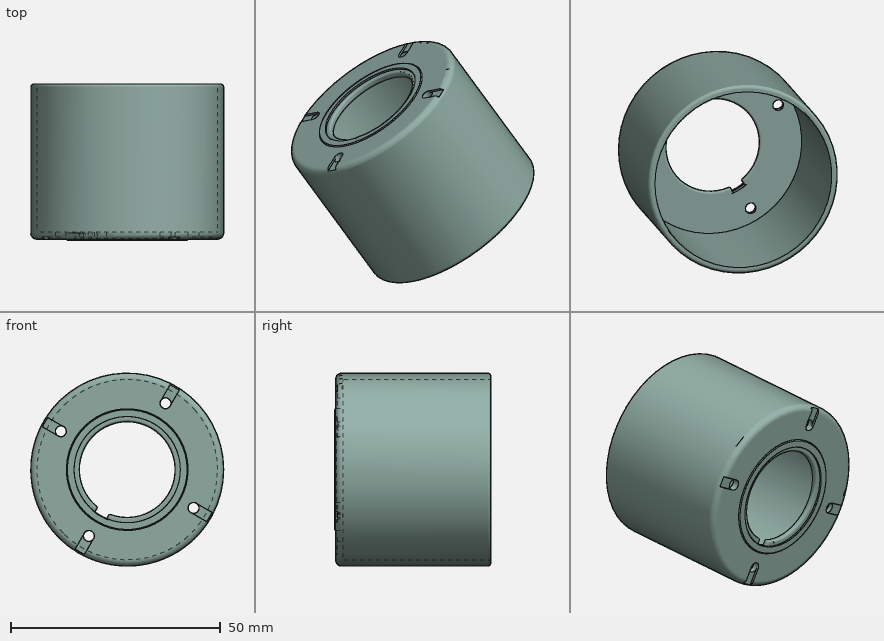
import cadquery as cq
import math

BODY_DIAMETER = 46.0
BODY_RADIUS = BODY_DIAMETER / 2
BODY_LENGTH = 37.0
FRONT_WALL = 1.75
SIDE_WALL = 1.5
FRONT_FILLET = 1.5
BACK_FILLET = 0.8

COLLAR_HEIGHT = 0.24
COLLAR_BASE_RADIUS = 14.5
COLLAR_TOP_RADIUS = COLLAR_BASE_RADIUS - COLLAR_HEIGHT

BORE_RADIUS = BODY_RADIUS - SIDE_WALL
MOUTH_RADIUS = 12.65
LIP_SEAT_RADIUS = 14.0
LIP_INNER_RADIUS = 11.38
LIP_FILLET = 0.5
LIP_FRONT_Y = 0.2
LIP_BACK_Y = FRONT_WALL
LIP_GAP_RADIUS = 12.8
LIP_GAP_WIDTH = 3.2
LIP_CORNER_FILLET = 0.4
LIP_GAP_ANGLE = 240.0

HOLE_COUNT = 4
HOLE_DIAMETER = 2.55
HOLE_CIRCLE_RADIUS = 18.25
FIRST_HOLE_ANGLE = 60.0
SLOT_DEPTH = 0.5


def cylinder(radius, start_y, end_y):
    """Solid cylinder on the Y axis between two Y positions."""
    plane = cq.Workplane("XZ", origin=(0, start_y, 0))
    return plane.circle(radius).extrude(start_y - end_y)


def make_body():
    body = cylinder(BODY_RADIUS, 0, BODY_LENGTH)
    body = body.faces("<Y").edges().fillet(FRONT_FILLET)
    return body.faces(">Y").edges().fillet(BACK_FILLET)


def make_collar():
    profile = (
        cq.Workplane("XY")
        .lineTo(COLLAR_BASE_RADIUS, 0)
        .lineTo(COLLAR_TOP_RADIUS, -COLLAR_HEIGHT)
        .lineTo(0, -COLLAR_HEIGHT)
        .close()
    )
    return profile.revolve(360, (0, 0, 0), (0, 1, 0))


def radial_box(inner_radius, outer_radius, width, start_y, end_y, angle):
    """Box reaching outward from the Y axis, turned from +X toward +Z by angle degrees."""
    box = cq.Workplane("XY").box(
        outer_radius - inner_radius, end_y - start_y, width, centered=(False, False, True)
    )
    box = box.translate((inner_radius, start_y, 0))
    return box.rotate((0, 0, 0), (0, 1, 0), -angle)


def make_lip():
    lip = cylinder(LIP_SEAT_RADIUS, LIP_FRONT_Y, LIP_BACK_Y)
    lip = lip.cut(cylinder(LIP_INNER_RADIUS, LIP_FRONT_Y, LIP_BACK_Y))
    gap = radial_box(0, BODY_RADIUS, LIP_GAP_WIDTH, LIP_FRONT_Y, LIP_BACK_Y, LIP_GAP_ANGLE)
    lip = lip.cut(gap.intersect(cylinder(LIP_GAP_RADIUS, LIP_FRONT_Y, LIP_BACK_Y)))

    opposite_gap = math.radians(LIP_GAP_ANGLE + 180)
    inner_wall_selector = cq.selectors.NearestToPointSelector(
        (LIP_INNER_RADIUS * math.cos(opposite_gap), 0, LIP_INNER_RADIUS * math.sin(opposite_gap))
    )
    inner_wall = lip.faces(inner_wall_selector)
    lip = inner_wall.edges("|Y").fillet(LIP_CORNER_FILLET)
    inner_wall = lip.faces(inner_wall_selector)
    return inner_wall.edges("not(|Y)").fillet(LIP_FILLET)


def cut_hole_and_slot(part, angle):
    hole_x = HOLE_CIRCLE_RADIUS * math.cos(math.radians(angle))
    hole_z = HOLE_CIRCLE_RADIUS * math.sin(math.radians(angle))
    hole = cylinder(HOLE_DIAMETER / 2, 0, BODY_LENGTH).translate((hole_x, 0, hole_z))
    slot = radial_box(HOLE_CIRCLE_RADIUS, BODY_RADIUS, HOLE_DIAMETER, 0, SLOT_DEPTH, angle)
    return part.cut(hole).cut(slot)


cup = make_body().union(make_collar())
cup = cup.cut(cylinder(BORE_RADIUS, FRONT_WALL, BODY_LENGTH))
cup = cup.cut(cylinder(MOUTH_RADIUS, -COLLAR_HEIGHT, LIP_FRONT_Y))
cup = cup.cut(cylinder(LIP_SEAT_RADIUS, LIP_FRONT_Y, LIP_BACK_Y))
result = cup.union(make_lip())
for index in range(HOLE_COUNT):
    result = cut_hole_and_slot(result, FIRST_HOLE_ANGLE + index * 360 / HOLE_COUNT)